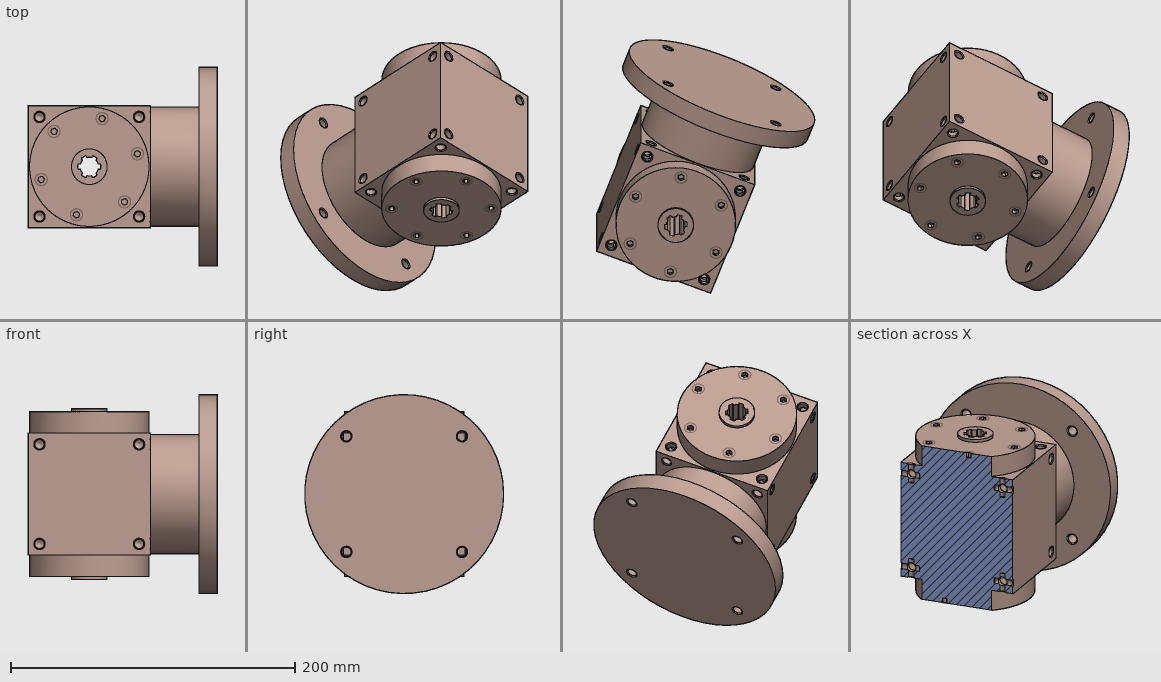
import cadquery as cq
import math

TOTAL_LENGTH = 133.0
CUBE_SIDE = 86.0
HALF_CUBE = CUBE_SIDE / 2
FLANGE_FACE_X = TOTAL_LENGTH - HALF_CUBE

COVER_DIAMETER = 84.0
COVER_HEIGHT = 15.0
COVER_TOP_Z = HALF_CUBE + COVER_HEIGHT

NECK_DIAMETER = 84.0
FLANGE_DIAMETER = 140.0
FLANGE_THICKNESS = 13.0
FLANGE_BOLT_CIRCLE = 115.0
FLANGE_HOLE_COUNT = 4
FLANGE_FIRST_ANGLE = 45.0

TAP_DIAMETER = 6.6
TAP_MOUTH_DIAMETER = 8.0
TAP_MOUTH_DEPTH = (TAP_MOUTH_DIAMETER - TAP_DIAMETER) / 2
TAP_DEPTH = 14.0
TAP_SPACING = 70.0
DRILL_POINT_ANGLE = 118.0

SCREW_CIRCLE = 70.0
SCREW_COUNT = 6
SCREW_FIRST_ANGLE = 15.0
SCREW_HEAD_DIAMETER = 8.5
SCREW_HEAD_HEIGHT = 5.0
SOCKET_ACROSS_FLATS = 4.0
SOCKET_ACROSS_CORNERS = SOCKET_ACROSS_FLATS / math.cos(math.pi / 6)
SOCKET_DEPTH = 3.5

SHAFT_DIAMETER = 25.0
SHAFT_PROTRUSION = 2.1
SHAFT_LENGTH = 2 * (COVER_TOP_Z + SHAFT_PROTRUSION)
SPLINE_MINOR_DIAMETER = 13.0
SPLINE_MAJOR_DIAMETER = 16.0
SPLINE_SLOT_WIDTH = 3.5
SPLINE_SLOT_COUNT = 6


def centred_cylinder(diameter, length):
    """Cylinder along Z, centred on the origin."""
    return cq.Workplane("XY").circle(diameter / 2).extrude(length / 2, both=True)


def housing_blank():
    """Cube with its two covers, neck and flange, before any hole is made."""
    cube = cq.Workplane("XY").box(CUBE_SIDE, CUBE_SIDE, CUBE_SIDE)
    covers = centred_cylinder(COVER_DIAMETER, 2 * COVER_TOP_Z)
    neck = cq.Workplane("YZ").circle(NECK_DIAMETER / 2).extrude(FLANGE_FACE_X)
    flange = (
        cq.Workplane("YZ", origin=(FLANGE_FACE_X, 0, 0))
        .circle(FLANGE_DIAMETER / 2)
        .extrude(-FLANGE_THICKNESS)
    )
    return cube.union(covers).union(neck).union(flange)


def blind_tap():
    """Cutter for a tapped hole along -Z from the origin: chamfered mouth and drill point."""
    radius = TAP_DIAMETER / 2
    point_height = radius / math.tan(math.radians(DRILL_POINT_ANGLE / 2))
    return (
        cq.Workplane("XZ")
        .polyline([
            (0, 0),
            (TAP_MOUTH_DIAMETER / 2, 0),
            (radius, -TAP_MOUTH_DEPTH),
            (radius, -TAP_DEPTH),
            (0, -TAP_DEPTH - point_height),
        ])
        .close()
        .revolve(360, (0, 0), (0, 1))
    )


def face_taps():
    """Four blind tapped holes for the cube's +Z face."""
    taps = cq.Workplane("XY")
    offsets = (-TAP_SPACING / 2, TAP_SPACING / 2)
    for x in offsets:
        for y in offsets:
            taps = taps.add(blind_tap().translate((x, y, HALF_CUBE)))
    return taps.combine()


def cut_cube_taps(body):
    """Tapped holes in all six cube faces."""
    top_taps = face_taps()
    for angle in (0, 90, 180, 270):
        body = body.cut(top_taps.rotate((0, 0, 0), (1, 0, 0), angle))
    for angle in (-90, 90):
        body = body.cut(top_taps.rotate((0, 0, 0), (0, 1, 0), angle))
    return body


def cut_flange_holes(body):
    """Through holes in the flange, chamfered at both mouths."""
    radius = TAP_DIAMETER / 2
    mouth_radius = TAP_MOUTH_DIAMETER / 2
    cutter = (
        cq.Workplane("XY")
        .polyline([
            (0, 0),
            (0, mouth_radius),
            (TAP_MOUTH_DEPTH, radius),
            (FLANGE_THICKNESS - TAP_MOUTH_DEPTH, radius),
            (FLANGE_THICKNESS, mouth_radius),
            (FLANGE_THICKNESS, 0),
        ])
        .close()
        .revolve(360, (0, 0), (1, 0))
        .translate((FLANGE_FACE_X - FLANGE_THICKNESS, 0, FLANGE_BOLT_CIRCLE / 2))
    )
    for i in range(FLANGE_HOLE_COUNT):
        angle = FLANGE_FIRST_ANGLE + i * 360 / FLANGE_HOLE_COUNT
        body = body.cut(cutter.rotate((0, 0, 0), (1, 0, 0), angle))
    return body


def add_screw_heads(body):
    """Socket screw heads set flush in both covers; the seams around them are kept."""
    screw_centres = cq.Workplane("XY", origin=(0, 0, COVER_TOP_Z)).polarArray(
        SCREW_CIRCLE / 2, SCREW_FIRST_ANGLE, 360, SCREW_COUNT
    )
    plugs = screw_centres.circle(SCREW_HEAD_DIAMETER / 2).extrude(-SCREW_HEAD_HEIGHT)
    sockets = screw_centres.polygon(6, SOCKET_ACROSS_CORNERS).extrude(-SOCKET_DEPTH)
    heads = plugs.cut(sockets)
    for angle in (0, 180):
        turned_plugs = plugs.rotate((0, 0, 0), (1, 0, 0), angle)
        turned_heads = heads.rotate((0, 0, 0), (1, 0, 0), angle)
        body = body.cut(turned_plugs, clean=False).union(turned_heads, clean=False)
    return body


def make_housing():
    """Gearbox housing with a bore that the hollow shaft fills."""
    body = housing_blank().cut(centred_cylinder(SHAFT_DIAMETER, SHAFT_LENGTH))
    body = cut_cube_taps(body)
    body = cut_flange_holes(body)
    return add_screw_heads(body)


def make_shaft():
    """Hollow shaft with a straight-sided internal spline running right through."""
    slot_tips = centred_cylinder(SPLINE_MAJOR_DIAMETER, SHAFT_LENGTH)
    spline = centred_cylinder(SPLINE_MINOR_DIAMETER, SHAFT_LENGTH)
    bar = cq.Workplane("XY").box(SHAFT_DIAMETER, SPLINE_SLOT_WIDTH, SHAFT_LENGTH).intersect(slot_tips)
    for i in range(SPLINE_SLOT_COUNT // 2):
        spline = spline.union(bar.rotate((0, 0, 0), (0, 0, 1), i * 360 / SPLINE_SLOT_COUNT))
    return centred_cylinder(SHAFT_DIAMETER, SHAFT_LENGTH).cut(spline)


housing = make_housing()
shaft = make_shaft()
result = cq.Compound.makeCompound([housing.solids().val(), shaft.solids().val()])